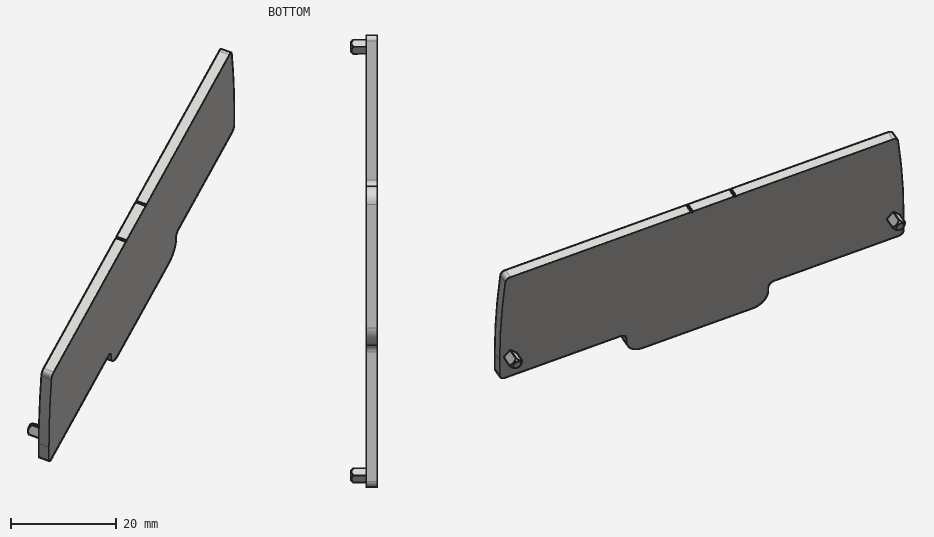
import cadquery as cq
import math

length = 85.75
height = 32.3
thickness = 2.15
half_length = length / 2
shoulder_z = 5.4
side_top_z = 10.7
end_lean = 1.3
corner_radius = 1.1

tab_left_y = -14.15
tab_right_y = 15.95
tab_root_radius = 1.3
tab_corner_radius = 3.35

peg_length = 2.9
peg_diagonal = 2.8
peg_diameter = 2.75
peg_y = 40.65
peg_z = 11.15
peg_tip_radius = 0.9
peg_tip_depth = 0.5

groove_width = 0.4
groove_depth = 0.3
groove_positions = (2.1, -7.1)


def make_plate():
    """Plate and tab outline, extruded and rounded at its corners."""
    top_half_length = half_length - end_lean
    arc_height = height - side_top_z
    arc_radius = (arc_height**2 + end_lean**2) / (2 * end_lean)
    middle_z = side_top_z + arc_height / 2
    middle_y = half_length - arc_radius + math.sqrt(arc_radius**2 - (arc_height / 2) ** 2)
    plate = (
        cq.Workplane("YZ")
        .moveTo(tab_left_y, 0)
        .lineTo(tab_right_y, 0)
        .lineTo(tab_right_y, shoulder_z)
        .lineTo(half_length, shoulder_z)
        .lineTo(half_length, side_top_z)
        .threePointArc((middle_y, middle_z), (top_half_length, height))
        .lineTo(-top_half_length, height)
        .threePointArc((-middle_y, middle_z), (-half_length, side_top_z))
        .lineTo(-half_length, shoulder_z)
        .lineTo(tab_left_y, shoulder_z)
        .close()
        .extrude(thickness)
    )

    def round_corners(body, corners, radius):
        for y, z in corners:
            nearest = cq.NearestToPointSelector((thickness / 2, y, z))
            body = body.edges("|X").edges(nearest).fillet(radius)
        return body

    plate_corners = [
        (side * y, z)
        for side in (-1, 1)
        for y, z in ((half_length, shoulder_z), (top_half_length, height))
    ]
    plate = round_corners(plate, plate_corners, corner_radius)
    tab_sides = (tab_left_y, tab_right_y)
    plate = round_corners(plate, [(y, shoulder_z) for y in tab_sides], tab_root_radius)
    return round_corners(plate, [(y, 0) for y in tab_sides], tab_corner_radius)


def make_peg(y):
    """Diamond bar with rounded long edges that taper at the tip."""
    side = peg_diagonal / math.sqrt(2)
    section = cq.Workplane("YZ", origin=(-peg_length, y, peg_z))
    bar = section.transformed(rotate=(0, 0, 45)).rect(side, side).extrude(peg_length)
    envelope_radius = peg_diameter / 2
    envelope = (
        section.circle(envelope_radius)
        .extrude(peg_length)
        .faces("<X")
        .chamfer(peg_tip_depth, envelope_radius - peg_tip_radius)
    )
    return bar.intersect(envelope)


def make_groove(y):
    """Vee cutter running through the plate thickness at the top edge."""
    return (
        cq.Workplane("YZ")
        .moveTo(y - groove_width / 2, height)
        .lineTo(y, height - groove_depth)
        .lineTo(y + groove_width / 2, height)
        .close()
        .extrude(thickness)
    )


result = make_plate()
for groove_y in groove_positions:
    result = result.cut(make_groove(groove_y))
for peg_side in (-1, 1):
    result = result.union(make_peg(peg_side * peg_y))